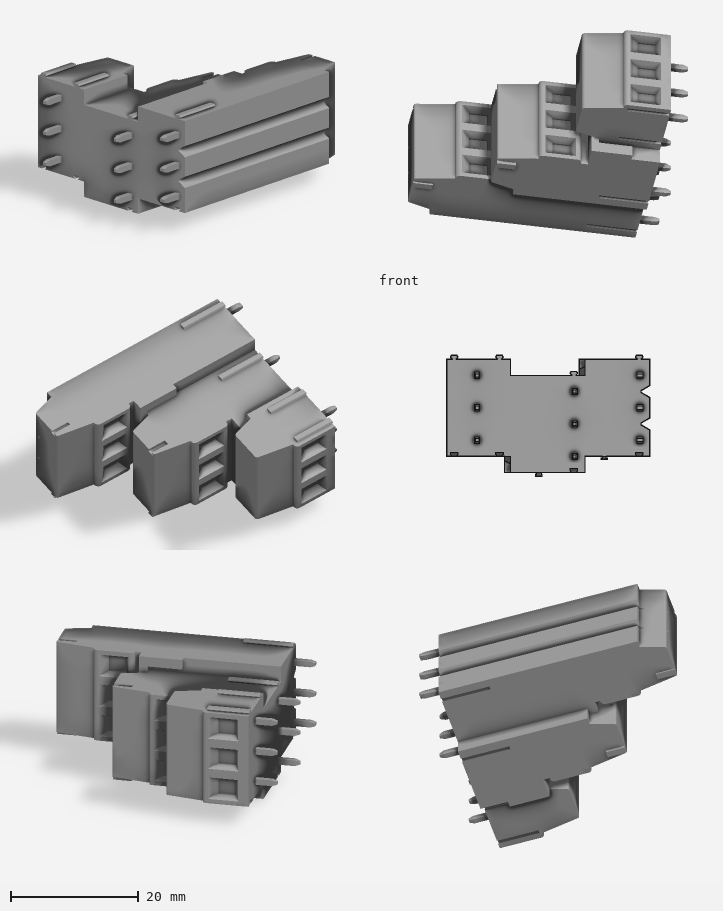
import cadquery as cq


cells = 3
pitch = 5.08
tier_height = cells * pitch

rib_height = 0.6
rib_flare_height = 0.32
rib_head_half = 0.6
rib_neck_half = 0.32
rib_chamfer = 0.15
low_rib_length = 6.8
tall_rib_length = 7.98
low_front_rib_x = 1.15
low_back_rib_x = 8.25
middle_rib_x = 19.9
high_rib_x = 30.15

middle_bottom = rib_height
outer_bottom = middle_bottom + pitch / 2

tier_rise = 11.45
low_crest = 13.8
middle_crest = low_crest + tier_rise
high_crest = middle_crest + tier_rise
low_right = 10.0
middle_right = 21.7
high_right = 31.8
middle_lip = 11.55
shoulder_drop = 3.95
lip_top_drop = 6.33
lip_bottom_drop = 13.05
lip_step = 0.85
crest_inset = 1.95
crest_width = 5.8
slope_run = 1.2
lip_radius = 0.6
high_lip_radius = 0.8
crest_left_radius = 0.3
low_crest_left_radius = 0.52
crest_right_radius = 0.5

wall_reach = 0.95
middle_wall_start = 4.5
middle_wall_top = 11.05
high_wall_start = 15.7
high_wall_top = 22.7
middle_wall_gap = 0.7
high_wall_gap = 0.93
wall_slant = 0.5

pocket_length = 4.85
pocket_height = 3.63
pocket_depth = 1.2
pocket_lip_drop = 0.95
pocket_front_taper = 0.6
pocket_back_taper = 1.35
pocket_step_inset = 0.25
pocket_step_depth = 0.5
pocket_step_bevel = 0.3
pocket_side_taper = 0.52
recess_depth = 0.3

notch_depth = 1.37
notch_half_mouth = 0.93
notch_half_tip = 0.12

pin_height = 0.95
pin_shank = 2.7
pin_length = 3.5
pin_root = 0.4
pin_tip_height = 0.5
low_pin_width = 0.8
low_pin_tip_width = 0.55
tall_pin_width = 0.9
middle_pin_tip_width = 0.45
low_pin_x = 4.75
middle_pin_x = 20.03
high_pin_x = 30.25

short_rib_length = 3.05
short_rib_head_half = 0.52
middle_short_rib_x = 14.43
middle_short_neck_half = 0.45
high_short_rib_x = 24.65
high_short_neck_half = 0.3
high_short_rib_height = 0.5

pip_radius = 0.3
pip_length = 0.3
pip_rise = 0.12
high_pip_x = 28.5
slope_pip_radius = 0.25
slope_pip_offset = 7.95
slope_pip_drop = 0.75


def box(x0, x1, y0, y1, z0, z1):
    corner = cq.Workplane("XY", origin=(x0, y0, z0))
    return corner.box(x1 - x0, y1 - y0, z1 - z0, centered=False)


def prism_along_z(points, bottom, height):
    return cq.Workplane("XY").workplane(offset=bottom).polyline(points).close().extrude(height)


def prism_along_y(points, y0, y1):
    """Extrude an (x, z) outline from y0 to y1."""
    return cq.Workplane("XZ", origin=(0, y0, 0)).polyline(points).close().extrude(y0 - y1)


def round_corner(body, point, radius):
    return body.edges("|Z").edges(cq.NearestToPointSelector(point)).fillet(radius)


def tier(foot_left, lip_left, right, crest, bottom, wall_top=None,
         lip_round=lip_radius, crest_left_round=crest_left_radius):
    """One tier: a foot, an overhanging lip (when raised) and a tapered screw tower."""
    lip_top = crest - lip_top_drop
    shoulder = crest - shoulder_drop
    crest_left = lip_left + crest_inset
    crest_right = crest_left + crest_width
    middle_z = bottom + tier_height / 2
    outline = [(right, 0), (foot_left, 0)]
    if wall_top is not None:
        lip_bottom = crest - lip_bottom_drop
        neck = lip_left + lip_step
        outline += [(foot_left, wall_top), (neck, wall_top), (neck, lip_bottom), (lip_left, lip_bottom)]
    outline += [
        (lip_left, lip_top),
        (lip_left + lip_step, lip_top),
        (crest_left, crest),
        (crest_right, crest),
        (crest_right + slope_run, shoulder),
        (right, shoulder),
    ]
    body = prism_along_z(outline, bottom, tier_height)
    body = round_corner(body, (lip_left, lip_top, middle_z), lip_round)
    if wall_top is not None:
        body = round_corner(body, (lip_left, lip_bottom, middle_z), lip_round)
    body = round_corner(body, (crest_left, crest, middle_z), crest_left_round)
    return round_corner(body, (crest_right, crest, middle_z), crest_right_radius)


def cell_centres(bottom):
    return [bottom + pitch * (i + 0.5) for i in range(cells)]


def cell_dividers(bottom):
    return [bottom + pitch * i for i in range(1, cells)]


def entry_pocket(left, crest, z, stepped):
    """Tapered funnel in a -X face ending in a shallow recess; its +Y side may have a bevelled step."""
    y1 = crest - lip_top_drop - pocket_lip_drop
    y0 = y1 - pocket_length
    floor = left + pocket_depth
    half = pocket_height / 2
    inner_half = half - pocket_side_taper
    inner_y0 = y0 + pocket_front_taper
    inner_y1 = y1 - pocket_back_taper
    step = left + pocket_step_depth
    step_y = y1 - pocket_step_inset
    outline = [(left, y0), (floor, inner_y0), (floor, inner_y1)]
    if stepped:
        outline += [(step + pocket_step_bevel, step_y - pocket_step_bevel), (step, step_y)]
    outline += [(left, y1)]
    plan = prism_along_z(outline, z - half, pocket_height)
    section = [(left, z - half), (floor, z - inner_half), (floor, z + inner_half), (left, z + half)]
    funnel = plan.intersect(prism_along_y(section, y0, y1))
    recess = box(floor, floor + recess_depth, inner_y0, inner_y1, z - inner_half, z + inner_half)
    return funnel.union(recess)


def dovetail(x, z, length, chamfer=0):
    """Dovetail bar along Y from the front face, rising from the plane z and widest at its flare."""
    flare_z = z + rib_flare_height
    top = z + rib_height
    crown_half = rib_head_half - chamfer
    points = [
        (x - rib_neck_half, z),
        (x - rib_head_half, flare_z),
        (x - crown_half, top),
        (x + crown_half, top),
        (x + rib_head_half, flare_z),
        (x + rib_neck_half, z),
    ]
    return prism_along_y(points, 0, length)


def tee_bar(x, z, crest, height, neck_half):
    """T-section bar along Y ending at the crest and hanging from the plane z."""
    y0 = crest - short_rib_length
    neck = box(x - neck_half, x + neck_half, y0, crest, z - height, z)
    head_half = short_rib_head_half
    head = box(x - head_half, x + head_half, y0, crest, z - height, z - height / 2)
    return neck.union(head)


def spacer_wall(right, y0, y1, shoulder, wall_z0, wall_z1, gap_z, slant):
    """Wall on a tier's -X face: from wall_z0 to wall_z1 above the shoulder of the tier before it.
    Below that shoulder only a strip from wall_z0 to a slanted edge near gap_z is left."""
    left = right - wall_reach
    upper = box(left, right, shoulder, y1, min(wall_z0, wall_z1), max(wall_z0, wall_z1))
    strip = [(left, wall_z0), (right, wall_z0), (right, gap_z + slant), (left, gap_z)]
    return upper.union(prism_along_y(strip, y0, shoulder))


def pin(x, z, width, tip_width):
    """Rectangular pin rooted in the front face, with its tip tapering towards -Y."""
    half_width = width / 2
    half_height = pin_height / 2
    shank = box(x - half_width, x + half_width, -pin_shank, pin_root, z - half_height, z + half_height)
    tip = (
        cq.Workplane("XZ", origin=(x, -pin_shank, z))
        .rect(width, pin_height)
        .workplane(offset=pin_length - pin_shank)
        .rect(tip_width, pin_tip_height)
        .loft()
    )
    return shank.union(tip)


def pip(x, y, z, radius):
    """Rounded bump with its axis along Z, centred on (x, y)."""
    return cq.Workplane("XY", origin=(x, y, z - pip_length / 2)).circle(radius).extrude(pip_length)


low = tier(0, 0, low_right, low_crest, outer_bottom, crest_left_round=low_crest_left_radius)
middle = tier(low_right, middle_lip, middle_right, middle_crest, middle_bottom, middle_wall_top)
high = tier(
    middle_right, middle_right, high_right, high_crest, outer_bottom, high_wall_top,
    lip_round=high_lip_radius,
)
result = low.union(middle).union(high)

low_shoulder = low_crest - shoulder_drop
middle_shoulder = middle_crest - shoulder_drop
outer_top = outer_bottom + tier_height
middle_top = middle_bottom + tier_height
result = result.union(spacer_wall(
    low_right, middle_wall_start, middle_wall_top, low_shoulder,
    middle_bottom, middle_top, outer_bottom - middle_wall_gap, -wall_slant,
))
result = result.union(spacer_wall(
    middle_right, high_wall_start, high_wall_top, middle_shoulder,
    outer_top, outer_bottom, middle_top + high_wall_gap, wall_slant,
))

for left, crest, bottom, stepped in [
    (0, low_crest, outer_bottom, True),
    (middle_lip, middle_crest, middle_bottom, True),
    (middle_right, high_crest, outer_bottom, False),
]:
    for z in cell_centres(bottom):
        result = result.cut(entry_pocket(left, crest, z, stepped))

for z in cell_dividers(outer_bottom):
    notch = [
        (high_right, z - notch_half_mouth),
        (high_right - notch_depth, z - notch_half_tip),
        (high_right - notch_depth, z + notch_half_tip),
        (high_right, z + notch_half_mouth),
    ]
    result = result.cut(prism_along_y(notch, 0, high_crest))

for x, length, bottom in [
    (low_front_rib_x, low_rib_length, outer_bottom),
    (low_back_rib_x, low_rib_length, outer_bottom),
    (middle_rib_x, tall_rib_length, middle_bottom),
    (high_rib_x, tall_rib_length, outer_bottom),
]:
    result = result.union(dovetail(x, bottom + tier_height, length, rib_chamfer))
    result = result.cut(dovetail(x, bottom, length))

for x, crest, bottom, neck_half, height in [
    (middle_short_rib_x, middle_crest, middle_bottom, middle_short_neck_half, rib_height),
    (high_short_rib_x, high_crest, outer_bottom, high_short_neck_half, high_short_rib_height),
]:
    result = result.union(tee_bar(x, bottom, crest, height, neck_half))
    result = result.cut(tee_bar(x, bottom + tier_height, crest, height, neck_half))

for x, width, tip_width, bottom in [
    (low_pin_x, low_pin_width, low_pin_tip_width, outer_bottom),
    (middle_pin_x, tall_pin_width, middle_pin_tip_width, middle_bottom),
    (high_pin_x, tall_pin_width, tall_pin_width, outer_bottom),
]:
    for z in cell_centres(bottom):
        result = result.union(pin(x, z, width, tip_width))

for x, y, radius, bottom in [
    (slope_pip_offset, low_crest - slope_pip_drop, slope_pip_radius, outer_bottom),
    (middle_lip + slope_pip_offset, middle_crest - slope_pip_drop, slope_pip_radius, middle_bottom),
    (high_pip_x, high_crest - pip_radius + pip_rise, pip_radius, outer_bottom),
]:
    for z in cell_dividers(bottom):
        result = result.union(pip(x, y, z, radius))